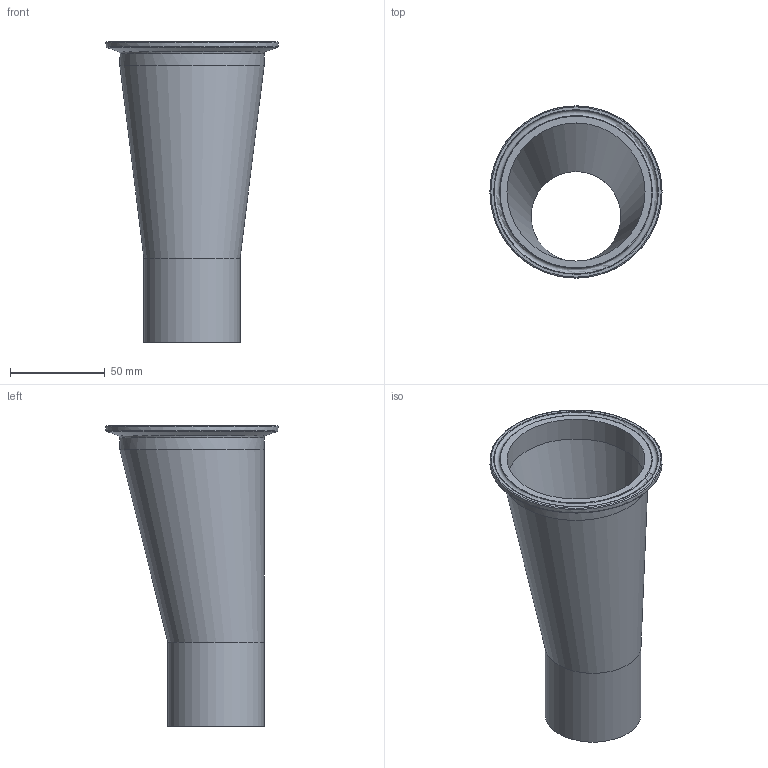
import cadquery as cq
import math

total_height = 158.75
cone_height = 101.6
collar_height = 12.7
tube_height = total_height - cone_height - collar_height

small_outer_radius = 50.8 / 2
small_inner_radius = 47.5 / 2
large_outer_radius = 76.2 / 2
large_inner_radius = 72.9 / 2
eccentricity = large_outer_radius - small_outer_radius

flange_radius = 90.91 / 2
rim_height = 2.85
rim_fillet = 0.5
taper_angle = 20.0
root_fillet = 1.2

groove_radius = 83.5 / 2
groove_width = 3.0
groove_depth = 1.2
groove_edge_fillet = 0.3

cone_top = tube_height + cone_height
rim_bottom = total_height - rim_height
taper_drop = (flange_radius - large_outer_radius) * math.tan(math.radians(taper_angle))
root_height = rim_bottom - taper_drop


def oblique_reducer(bottom_radius, top_radius):
    """Straight tube with an oblique cone on top that widens to the collar."""
    tube = (
        cq.Workplane("XY")
        .center(0, -eccentricity)
        .circle(bottom_radius)
        .extrude(tube_height)
    )
    cone = (
        cq.Workplane("XY", origin=(0, -eccentricity, tube_height))
        .circle(bottom_radius)
        .workplane(offset=cone_height)
        .center(0, eccentricity)
        .circle(top_radius)
        .loft(ruled=True)
    )
    return tube.union(cone)


def circle_edges(body, radius, height):
    """Edges of the body that are circles about the Z axis with the given radius and height."""
    tolerance = 0.001
    return body.edges("%CIRCLE").filter(
        lambda edge: abs(edge.radius() - radius) < tolerance and abs(edge.Center().z - height) < tolerance
    )


def clamp_flange():
    """Collar with a clamp flange: rounded rim, tapered back and a gasket groove in the face."""
    groove_inner = groove_radius - groove_width / 2
    groove_outer = groove_radius + groove_width / 2
    body = (
        cq.Workplane("XZ")
        .moveTo(large_inner_radius, cone_top)
        .lineTo(large_outer_radius, cone_top)
        .lineTo(large_outer_radius, root_height)
        .lineTo(flange_radius, rim_bottom)
        .lineTo(flange_radius, total_height)
        .lineTo(groove_outer, total_height)
        .threePointArc((groove_radius, total_height - groove_depth), (groove_inner, total_height))
        .lineTo(large_inner_radius, total_height)
        .close()
        .revolve(360, (0, 0, 0), (0, 1, 0))
    )
    body = circle_edges(body, flange_radius, total_height).fillet(rim_fillet)
    body = circle_edges(body, flange_radius, rim_bottom).fillet(rim_fillet)
    body = circle_edges(body, large_outer_radius, root_height).fillet(root_fillet)
    body = circle_edges(body, groove_outer, total_height).fillet(groove_edge_fillet)
    return circle_edges(body, groove_inner, total_height).fillet(groove_edge_fillet)


outside = oblique_reducer(small_outer_radius, large_outer_radius)
inside = oblique_reducer(small_inner_radius, large_inner_radius)
result = outside.cut(inside).union(clamp_flange())